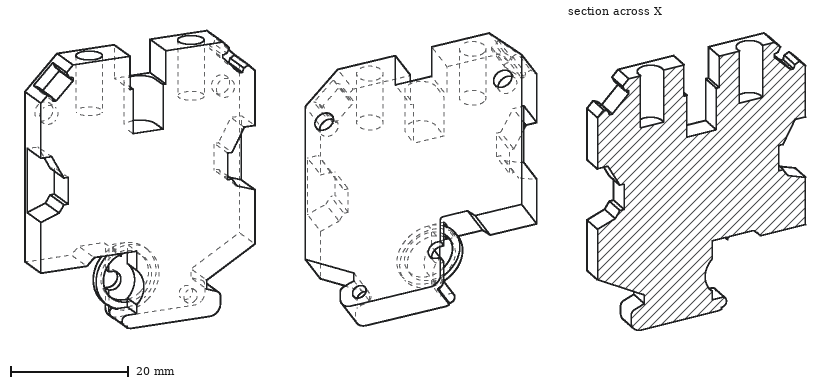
import cadquery as cq
import math

thickness = 6.5
width = 40.0
height = 49.0
half_width = width / 2
corner_chamfer = 6.0
center_notch_width = 6.7
center_notch_depth = 6.0

shoulder_bottom = 12.4
rail_seat = 13.75
rail_seat_outer_y = -10.0
rail_step_outer_y = -11.4
rail_seat_fillet = 0.5
foot_front_y = -5.0
foot_front_fillet = 2.0
foot_back_y = 13.55
foot_back_fillet = 2.0
hook_fillet = 1.0
hook_root_y = 11.0
hook_root_bottom = 5.0
hook_root_top = 6.6
hook_slope = math.radians(20)
flank_slope = math.radians(30)

screw_hole_diameter = 4.5
screw_hole_depth = 10.0
screw_hole_y = 9.5
side_hole_diameter = 3.4
side_hole_y = 16.5
side_hole_z = 39.0
foot_hole_diameter = 2.5
foot_hole_y = 10.0
foot_hole_z = 2.5
side_hole_depth = 2.0

jumper_radius = 2.8
jumper_depth = 8.0

side_wall = 0.9

marker_margin = 1.2
marker_wall_drop = 0.9
marker_wall_slant = 0.45
marker_groove_inset = 6.0
marker_groove_drop = 2.35
marker_floor_drop = 2.85

entry_top = 33.1
entry_inner_top = 28.9
entry_bottom = 21.55
entry_ramp_top = 22.75
entry_inner_bottom = 24.1
entry_depth = 5.1
entry_ramp_depth = 3.4
entry_ceiling_depth = 2.0
entry_throat_depth = 4.3

flange = 1.5
ring_thickness = 1.2
ring_outer_radius = 5.85
ring_inner_radius = 4.45
ring_y = -2.1
ring_z = 7.87
recess_wall_y = -2.1
bore_radius = 4.25
bore_z = 7.2
flange_notch_radius = 1.65
flange_notch_y = -4.4
toe_radius = 1.0
toe_top = 2.5
toe_y = -3.86


def extrude_x(outline, x_start, x_end):
    """Extrude a closed outline, drawn in Y and Z, from x_start to x_end."""
    return outline.extrude(x_end - x_start).translate((x_start, 0, 0))


def cylinder_x(y, z, radius, x_start, x_end):
    """Cylinder along X, centred at y and z."""
    return extrude_x(cq.Workplane("YZ").center(y, z).circle(radius), x_start, x_end)


def round_edge(body, y, z, radius):
    """Fillet the edge that runs along X at y and z."""
    nearest = cq.selectors.NearestToPointSelector((thickness / 2, y, z))
    return body.edges("|X").edges(nearest).fillet(radius)


def make_plate():
    """Solid plate with the outline of the housing and its foot."""
    notch_half = center_notch_width / 2
    flank_end_z = hook_root_top + (half_width - hook_root_y) * math.tan(flank_slope)
    hook_tip_z = hook_root_bottom - (foot_back_y - hook_root_y) * math.tan(hook_slope)
    outline = cq.Workplane("YZ").polyline([
        (-half_width, shoulder_bottom),
        (-half_width, height - corner_chamfer),
        (-half_width + corner_chamfer, height),
        (-notch_half, height),
        (-notch_half, height - center_notch_depth),
        (notch_half, height - center_notch_depth),
        (notch_half, height),
        (half_width - corner_chamfer, height),
        (half_width, height - corner_chamfer),
        (half_width, flank_end_z),
        (hook_root_y, hook_root_top),
        (hook_root_y, hook_root_bottom),
        (foot_back_y, hook_tip_z),
        (foot_back_y, 0),
        (foot_front_y, 0),
        (foot_front_y, rail_seat),
        (rail_seat_outer_y, rail_seat),
        (rail_step_outer_y, shoulder_bottom),
    ]).close()
    plate = extrude_x(outline, 0, thickness)

    plate = round_edge(plate, foot_back_y, hook_tip_z, hook_fillet)
    plate = round_edge(plate, foot_back_y, 0, foot_back_fillet)
    plate = round_edge(plate, foot_front_y, 0, foot_front_fillet)
    return round_edge(plate, foot_front_y, rail_seat, rail_seat_fillet)


def make_marker_pocket(side):
    """Pocket in the corner chamfer with an undercut groove along both walls."""
    lip = marker_margin
    far = corner_chamfer - marker_margin
    upper = [
        (far, lip),
        (far + marker_wall_slant, lip + marker_wall_drop),
        (marker_groove_inset, marker_groove_drop),
        (marker_groove_inset, marker_floor_drop),
    ]
    lower = [(drop, inset) for inset, drop in reversed(upper)]
    outer = [(0, far), (0, lip), (lip, 0), (far, 0)]
    points = [(side * (half_width - inset), height - drop) for inset, drop in upper + lower + outer]
    return extrude_x(cq.Workplane("YZ").polyline(points).close(), side_wall, thickness)


def make_wire_entry(side):
    """Funnel in an end face that narrows to a short straight throat."""
    profile = [
        (0, entry_top),
        (entry_ceiling_depth, entry_top),
        (entry_throat_depth, entry_inner_top),
        (entry_depth, entry_inner_top),
        (entry_depth, entry_inner_bottom),
        (entry_throat_depth, entry_inner_bottom),
        (entry_ramp_depth, entry_ramp_top),
        (0, entry_bottom),
    ]
    points = [(side * (half_width - inset), z) for inset, z in profile]
    return extrude_x(cq.Workplane("YZ").polyline(points).close(), side_wall, thickness)


def make_foot_recess():
    """Open space beside the flange, above the rounded toe, with the slot that holds the ring."""
    lowest = -1.0
    space = extrude_x(
        cq.Workplane("YZ").polyline([
            (recess_wall_y, toe_top),
            (recess_wall_y, rail_seat),
            (foot_front_y, rail_seat),
            (foot_front_y, lowest),
            (toe_y, lowest),
            (toe_y, toe_top),
        ]).close(), flange, thickness)
    toe = cylinder_x(toe_y, toe_top - toe_radius, toe_radius, flange, thickness)
    bore = cylinder_x(foot_front_y, bore_z, bore_radius, flange, thickness)
    slot = cylinder_x(ring_y, ring_z, ring_outer_radius, flange, flange + ring_thickness)
    return space.cut(toe).union(bore).union(slot)


def make_housing():
    housing = make_plate()
    for side in (-1, 1):
        housing = housing.cut(make_marker_pocket(side))
        housing = housing.cut(make_wire_entry(side))
        housing = housing.cut(
            cq.Workplane("XY", origin=(thickness / 2, side * screw_hole_y, height))
            .circle(screw_hole_diameter / 2).extrude(-screw_hole_depth))
        housing = housing.cut(
            cylinder_x(side * side_hole_y, side_hole_z, side_hole_diameter / 2, 0, side_hole_depth))
    housing = housing.cut(cylinder_x(foot_hole_y, foot_hole_z, foot_hole_diameter / 2, 0, side_hole_depth))

    notch_floor = height - center_notch_depth
    jumper_pocket = (
        cq.Workplane("XY", origin=(thickness / 2, 0, notch_floor))
        .moveTo(0, jumper_radius)
        .threePointArc((-jumper_radius, 0), (0, -jumper_radius))
        .lineTo(thickness / 2, -jumper_radius)
        .lineTo(thickness / 2, jumper_radius)
        .close()
        .extrude(-jumper_depth))
    housing = housing.cut(jumper_pocket)

    housing = housing.cut(make_foot_recess())
    flange_notch = cylinder_x(flange_notch_y, bore_z, flange_notch_radius, 0, flange).union(
        cq.Workplane("XY").box(flange, flange_notch_y - foot_front_y, 2 * flange_notch_radius,
                               centered=(False, False, True))
        .translate((0, foot_front_y, bore_z)))
    return housing.cut(flange_notch)


def make_ring():
    """Flat ring that lies against the flange and bulges past the front of the foot."""
    outline = cq.Workplane("YZ").center(ring_y, ring_z).circle(ring_outer_radius).circle(ring_inner_radius)
    return extrude_x(outline, flange, flange + ring_thickness)


housing = make_housing()
ring = make_ring()

result = cq.Compound.makeCompound([housing.val(), ring.val()])